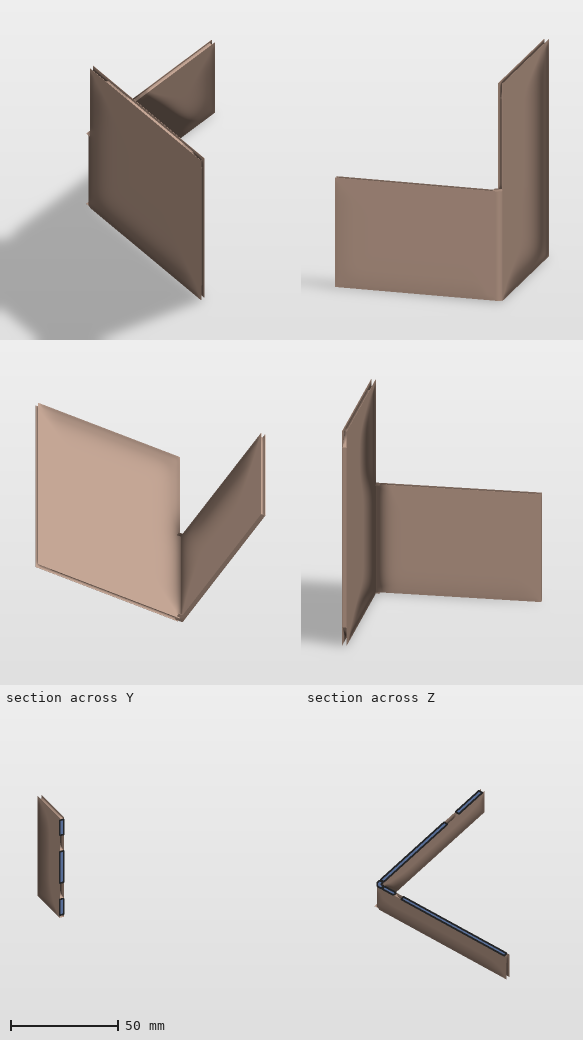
import cadquery as cq
import math

length_x = 77.9
length_y = 80.5
height = 105.7
thickness = 2.2
skin = 0.1

bend_radius = 2.5
wall_bottom = 0.6
wall_top = 53.9
cap_side = 4.2
cap_thickness = 0.1

core_inset = 1.4
core_bottom = 1.9
core_top = height - core_bottom
wall_core_top = 52.8
core_left = 6.2
core_right = length_x - core_inset
corner_cut = 6.5

core_gap = 0.3

hole_x, hole_z = 13.3, 14.6
hole_diameter = 4.2
slot_start = (61.7, 84.7)
slot_end = (68.9, 79.0)
slot_width = 4.2
disc_y = 57.0
disc_heights = (14.8, 40.3)
disc_diameter = 8.5


def box(x0, x1, y0, y1, z0, z1):
    """Box given by its limits along each axis."""
    return cq.Workplane("XY").box(x1 - x0, y1 - y0, z1 - z0, centered=False).translate((x0, y0, z0))


def bent_layer(depth_out, depth_in, end_x, end_y, z0, z1):
    """L-shaped layer between two depths measured from the outer surface."""
    outer_radius = bend_radius - depth_out
    inner_radius = bend_radius - depth_in
    diagonal = math.sqrt(0.5)
    outer_mid = bend_radius - outer_radius * diagonal
    inner_mid = bend_radius - inner_radius * diagonal
    return (
        cq.Workplane("XY", origin=(0, 0, z0))
        .moveTo(end_x, depth_out)
        .lineTo(bend_radius, depth_out)
        .threePointArc((outer_mid, outer_mid), (depth_out, bend_radius))
        .lineTo(depth_out, end_y)
        .lineTo(depth_in, end_y)
        .lineTo(depth_in, bend_radius)
        .threePointArc((inner_mid, inner_mid), (bend_radius, depth_in))
        .lineTo(end_x, depth_in)
        .close()
        .extrude(z1 - z0)
    )


def make_skin(depth_out, depth_in):
    """Full-height panel skin together with the lower bent wall skin."""
    panel = box(bend_radius, length_x, depth_out, depth_in, 0, height)
    wall = bent_layer(depth_out, depth_in, cap_side, length_y, wall_bottom, wall_top)
    return panel.union(wall)


def make_core():
    """Core with three cut panel corners and a lower bent wall portion."""
    panel = (
        cq.Workplane("XZ", origin=(0, skin, 0))
        .polyline([
            (core_left, core_bottom),
            (core_right - corner_cut, core_bottom),
            (core_right, core_bottom + corner_cut),
            (core_right, core_top - corner_cut),
            (core_right - corner_cut, core_top),
            (core_left + corner_cut, core_top),
            (core_left, core_top - corner_cut),
        ])
        .close()
        .extrude(-(thickness - 2 * skin))
    )
    wall = bent_layer(
        skin, thickness - skin, core_left, length_y - core_inset, core_bottom, wall_core_top
    )
    return panel.union(wall)


def make_cavities():
    """Round and slotted panel cavities and two round wall cavities."""
    core_depth = thickness - 2 * skin
    panel_plane = cq.Workplane("XZ", origin=(0, skin, 0))
    hole = panel_plane.center(hole_x, hole_z).circle(hole_diameter / 2).extrude(-core_depth)

    run = slot_end[0] - slot_start[0]
    rise = slot_end[1] - slot_start[1]
    slot = (
        panel_plane.center(slot_start[0] + run / 2, slot_start[1] + rise / 2)
        .slot2D(math.hypot(run, rise) + slot_width, slot_width, math.degrees(math.atan2(rise, run)))
        .extrude(-core_depth)
    )
    discs = (
        cq.Workplane("YZ", origin=(skin, 0, 0))
        .pushPoints([(disc_y, z) for z in disc_heights])
        .circle(disc_diameter / 2)
        .extrude(core_depth)
    )
    return hole.union(slot).union(discs)


def make_gaps():
    """Vertical slits through the core on both sides of the bend."""
    gap_start = cap_side - core_gap
    inner_face = thickness - skin
    panel_gap = box(gap_start, cap_side, skin, inner_face, core_bottom, wall_core_top)
    wall_gap = box(skin, inner_face, gap_start, cap_side, core_bottom, wall_core_top)
    return panel_gap.union(wall_gap)


def make_caps():
    """Square caps at both ends of the bend and a strip closing the wall bottom."""
    bottom_end = wall_bottom + cap_thickness
    bottom = box(0, cap_side, 0, cap_side, wall_bottom, bottom_end)
    top = box(0, cap_side, 0, cap_side, wall_top - cap_thickness, wall_top)
    strip = box(0, thickness, 0, length_y, wall_bottom, bottom_end)
    return bottom.union(top).union(strip)


outer_skin = make_skin(0, skin)
inner_skin = make_skin(thickness - skin, thickness)
core = make_core().cut(make_cavities()).cut(make_gaps())
result = core.union(outer_skin).union(inner_skin).union(make_caps())